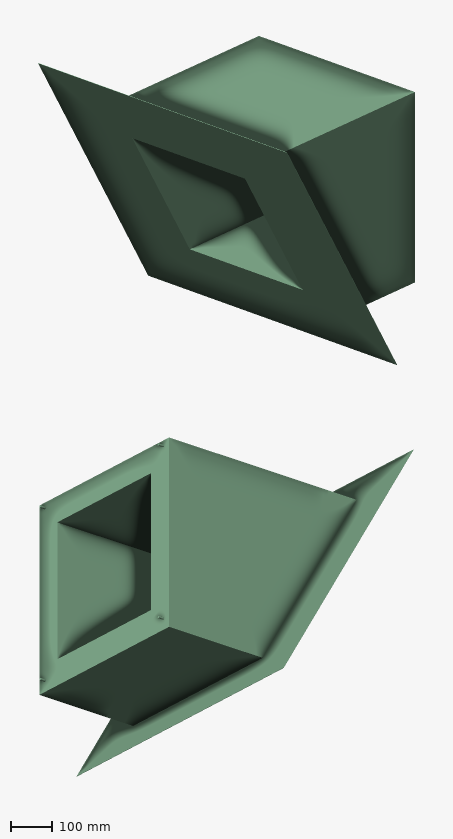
import cadquery as cq
import math

BODY_SIDE = 505.0
BODY_BOTTOM_LENGTH = 290.0
OPENING_SIDE = 365.0

FLANGE_MARGIN = 150.0
FLANGE_SIDE = BODY_SIDE + 2 * FLANGE_MARGIN
FLANGE_THICKNESS = 1.0
FLANGE_ANGLE = 60.0

STUD_DIAMETER = 6.0
STUD_LENGTH = 15.0
STUD_SPACING = 460.0
STUD_TOP_MARGIN = 15.0

SLOPE = math.radians(FLANGE_ANGLE)
SLOPE_HALF_DEPTH = BODY_SIDE / 2 / math.tan(SLOPE)
BACK_Y = BODY_BOTTOM_LENGTH + SLOPE_HALF_DEPTH
STUD_CENTRE_Z = BODY_SIDE / 2 - STUD_TOP_MARGIN - STUD_SPACING / 2


def make_body():
    """Solid block whose front end follows the back of the flange."""
    half = BODY_SIDE / 2
    return (
        cq.Workplane("YZ")
        .moveTo(SLOPE_HALF_DEPTH, -half)
        .lineTo(BACK_Y, -half)
        .lineTo(BACK_Y, half)
        .lineTo(-SLOPE_HALF_DEPTH, half)
        .close()
        .extrude(half, both=True)
    )


def make_flange():
    """Thin square plate lying on the sloping front of the body."""
    forward_normal = (0, -math.sin(SLOPE), -math.cos(SLOPE))
    slope_plane = cq.Plane(origin=(0, 0, 0), xDir=(1, 0, 0), normal=forward_normal)
    return cq.Workplane(slope_plane).rect(FLANGE_SIDE, FLANGE_SIDE).extrude(FLANGE_THICKNESS)


def make_opening():
    """Square passage running straight through the body and the flange."""
    return cq.Workplane("XZ").rect(OPENING_SIDE, OPENING_SIDE).extrude(BACK_Y, both=True)


def make_studs():
    """Four round studs standing on the back face."""
    back_plane = cq.Plane(origin=(0, BACK_Y, STUD_CENTRE_Z), xDir=(1, 0, 0), normal=(0, 1, 0))
    return (
        cq.Workplane(back_plane)
        .rect(STUD_SPACING, STUD_SPACING, forConstruction=True)
        .vertices()
        .circle(STUD_DIAMETER / 2)
        .extrude(STUD_LENGTH)
    )


result = make_body().union(make_flange()).cut(make_opening()).union(make_studs())